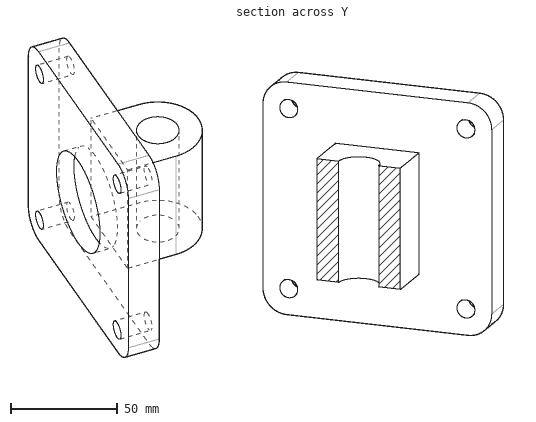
import cadquery as cq

plate_side = 115.0
plate_thickness = 16.0
corner_radius = 12.0

bolt_hole_diameter = 9.0
bolt_spacing = 89.0

recess_diameter = 50.0
recess_depth = 9.0

overall_depth = 62.0
lug_width = 42.0
lug_height = 60.0
pin_hole_diameter = 20.0
lug_radius = lug_width / 2
pin_y = overall_depth - lug_radius


def front_cylinder(diameter, depth):
    """Cylinder running back (+Y) from the centre of the front face."""
    return cq.Workplane("XZ").circle(diameter / 2).extrude(-depth)


def make_plate():
    plate = (
        cq.Workplane("XZ")
        .rect(plate_side, plate_side)
        .extrude(-plate_thickness)
        .edges("|Y")
        .fillet(corner_radius)
    )
    bolt_holes = (
        cq.Workplane("XZ")
        .rect(bolt_spacing, bolt_spacing, forConstruction=True)
        .vertices()
        .circle(bolt_hole_diameter / 2)
        .extrude(-plate_thickness)
    )
    return plate.cut(bolt_holes).cut(front_cylinder(recess_diameter, recess_depth))


def make_lug():
    lug = (
        cq.Workplane("XY", origin=(0, 0, -lug_height / 2))
        .moveTo(-lug_radius, plate_thickness)
        .lineTo(-lug_radius, pin_y)
        .threePointArc((0, overall_depth), (lug_radius, pin_y))
        .lineTo(lug_radius, plate_thickness)
        .close()
        .extrude(lug_height)
    )
    pin_hole = (
        cq.Workplane("XY", origin=(0, pin_y, -lug_height / 2))
        .circle(pin_hole_diameter / 2)
        .extrude(lug_height)
    )
    return lug.cut(pin_hole)


result = make_plate().union(make_lug())